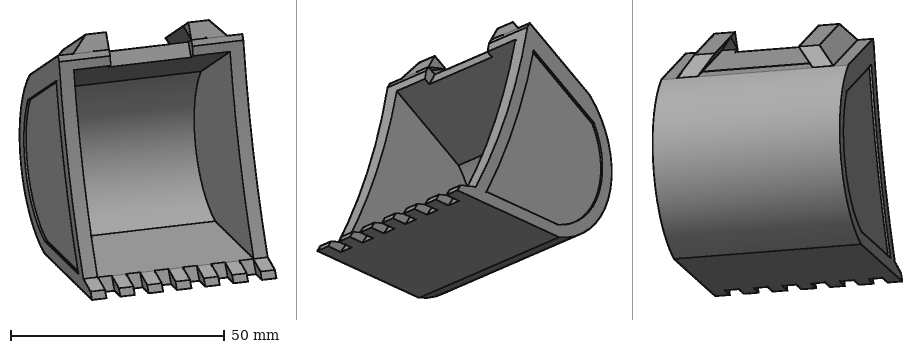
import cadquery as cq
import math

bucket_width = 45.75
yaw = -1.25
wall = 3.15
top_plate = 3.7
side_wall = 3.5
slope = math.radians(30)

back_height = 23.9
floor_start = 17.8
plate_x, plate_z = 7.35, 40.9
plate_length = 23.4
lip_depth = 1.5
rim_mid = (35.35, 26.35)
rim_foot_x = 45.8
tip_x = 52.05
tip_height = 1.75
bevel = math.radians(58)
open_reach = 45.0

tooth_count = 7
tooth_width = 3.6
tooth_pitch = (bucket_width - tooth_width) / (tooth_count - 1)

ear_height = 4.2
ear_start = 3.75
ear_width = 5.05
ear_lean = 3.8
ear_foot_start = 0.15
ear_crest_start = 4.35
gusset_length = 4.3

notch_length = 2.5
groove_start = 4.1
groove_width = 0.45
groove_depth = 0.55

panel_depth = 0.55
panel_drop = 5.2


def on_plate(along, above):
    """XZ point from distance along the top plate and height square to it."""
    x = plate_x + along * math.cos(slope) - above * math.sin(slope)
    z = plate_z + along * math.sin(slope) + above * math.cos(slope)
    return (x, z)


def extrude_across(profile, start, width):
    """Extrude an XZ profile towards +Y from the given start."""
    return profile.extrude(-width).translate((0, start, 0))


def back_outline(plate_reach):
    """Open outline: floor start, round back, then up the top plate."""
    return (
        cq.Workplane("XZ")
        .moveTo(floor_start, 0)
        .threePointArc((0, back_height), (plate_x, plate_z))
        .lineTo(*on_plate(plate_reach, 0))
    )


def shell_outline():
    edge_x = rim_foot_x + wall / math.tan(bevel)
    return (
        back_outline(plate_length)
        .lineTo(*on_plate(plate_length, -lip_depth))
        .threePointArc(rim_mid, (rim_foot_x, wall))
        .lineTo(edge_x, 0)
        .close()
    )


def cavity_outline():
    reach_x, reach_z = on_plate(open_reach, 0)
    return back_outline(open_reach).lineTo(reach_x + open_reach, reach_z).lineTo(
        reach_x + open_reach, 0
    ).close().offset2D(-wall)


def make_tooth(start):
    profile = cq.Workplane("XZ").polyline([
        (rim_foot_x - wall, 0),
        (tip_x, 0),
        (tip_x - tip_height / math.tan(bevel), tip_height),
        (rim_foot_x, wall),
        (rim_foot_x - wall, wall),
    ]).close()
    return extrude_across(profile, start, tooth_width)


def make_ear():
    """Ear leaning inwards, with a triangular gusset under the lip end of its overhang."""
    def section(along, above, start):
        ends = (along, plate_length)
        (x0, z0), (x1, z1) = [on_plate(end, above) for end in ends]
        return cq.Wire.makePolygon([
            cq.Vector(x0, start, z0),
            cq.Vector(x1, start, z1),
            cq.Vector(x1, start + ear_width, z1),
            cq.Vector(x0, start + ear_width, z0),
        ], close=True)

    foot = section(ear_foot_start, 0, ear_start)
    crest = section(ear_crest_start, ear_height, ear_start + ear_lean)
    leaning = cq.Workplane(cq.Solid.makeLoft([foot, crest], True))
    gusset = cq.Workplane("XZ").polyline([
        on_plate(plate_length, 0),
        on_plate(plate_length, ear_height),
        on_plate(plate_length - gusset_length, ear_height),
    ]).close()
    return leaning.union(extrude_across(gusset, ear_start + ear_width, ear_lean))


def plate_cut(first, last, depth, start, width):
    """Block cut square into the top plate, between two distances along it."""
    corners = [(first, 0), (last, 0), (last, -depth), (first, -depth)]
    profile = cq.Workplane("XZ").polyline([on_plate(*c) for c in corners]).close()
    return extrude_across(profile, start, width)


body = extrude_across(shell_outline(), 0, bucket_width)
cavity_width = bucket_width - 2 * side_wall
cavity = extrude_across(cavity_outline(), side_wall, cavity_width)
plate_underlay = plate_cut(-plate_length, plate_length, top_plate, side_wall, cavity_width)
body = body.cut(cavity.cut(plate_underlay))

for panel_start in (0, bucket_width - panel_depth):
    panel = extrude_across(shell_outline().offset2D(-wall), panel_start, panel_depth)
    above_panel = plate_cut(-plate_length, 2 * plate_length, panel_drop, panel_start, panel_depth)
    body = body.cut(panel.cut(above_panel))

crest_inner = ear_start + ear_lean + ear_width
clear_width = bucket_width - 2 * crest_inner
body = body.cut(plate_cut(
    plate_length - notch_length, plate_length + wall, top_plate, crest_inner, clear_width
))
ear_inner = ear_start + ear_width
body = body.cut(plate_cut(
    groove_start, groove_start + groove_width, groove_depth, ear_inner, bucket_width - 2 * ear_inner
))

ear = make_ear()
body = body.union(ear)
body = body.union(ear.mirror("XZ").translate((0, bucket_width, 0)))

for index in range(tooth_count):
    body = body.union(make_tooth(index * tooth_pitch))

result = body.rotate((0, 0, 0), (0, 0, 1), yaw)